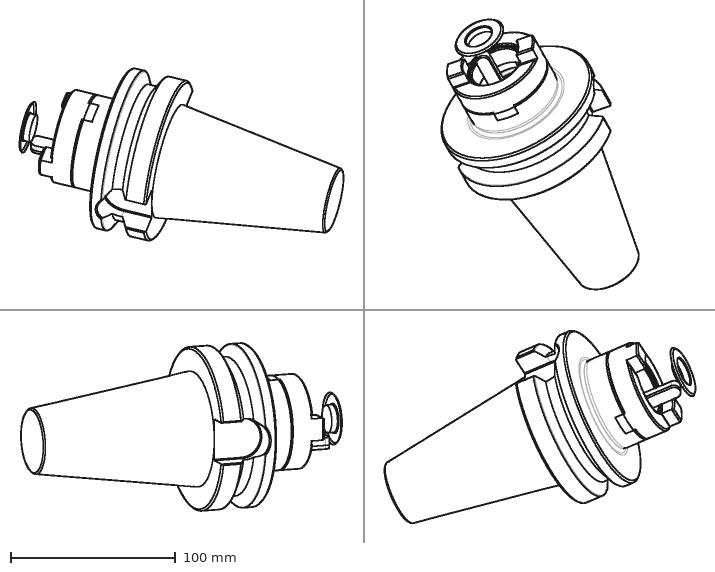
import cadquery as cq
import math


total_length = 195.8
ring_front_x = 23.7
collar_front_x = 37.2
flange_front_x = 55.6
flange_back_x = 90.9

pilot_d = 32.0
pilot_chamfer = 1.2
bore_d = 17.0
bore_depth = 4.3
bore_chamfer = 0.5

collar_d = 58.0
collar_chamfer = 1.2
relief_d = 57.4
relief_start_x = 51.9
relief_full_x = 53.6
relief_face_depth = 0.2
relief_fillet = 2.0
relief_outer_d = 64.2

flange_d = 100.0
flange_chamfer = 1.2
groove_d = 85.0
groove_floor_start_x = 67.4
groove_floor_end_x = 73.8
groove_wall_angle = 30.0
groove_edge_break = 0.5

taper_large_d = 70.7
taper_ratio = 7 / 24
taper_end_chamfer = 1.0

slot_width = 25.5
slot_floor_y = taper_large_d / 2
slot_end_x = 60.3
slot_floor_chamfer = 0.5
slot_rim_chamfer = 0.8

ring_d = collar_d
ring_bore_d = pilot_d
ring_chamfer = 1.0
ring_recess_d = 35.5
ring_recess_depth = 1.5
ring_inner_chamfer = 0.8
lug_inner_d = ring_recess_d + 2 * ring_inner_chamfer
lug_width = 13.7
front_lug_length = 7.0
front_lug_chamfer_length = 1.2
front_lug_chamfer_width = 0.5
lug_seat_width = 19.2
lug_seat_depth = 1.2
rear_lug_end_x = 43.9
rear_lug_tip_d = 57.8

key_width = 8.0
key_height = 7.0
key_bottom_z = -17.8
key_front_x = 3.0


def revolve_about_x(outline):
    """Turn a closed (x, radius) outline into a solid of revolution."""
    return outline.close().revolve(360, (0, 0, 0), (1, 0, 0))


def tube(start_x, end_x, outer_d, inner_d):
    """A plain tube along X."""
    outline = (
        cq.Workplane("XY")
        .moveTo(start_x, inner_d / 2)
        .lineTo(start_x, outer_d / 2)
        .lineTo(end_x, outer_d / 2)
        .lineTo(end_x, inner_d / 2)
    )
    return revolve_about_x(outline)


def bar_across(start_x, end_x, y_size, z_size):
    """A rectangular bar centred on the X axis."""
    length = end_x - start_x
    return cq.Workplane("XY").box(length, y_size, z_size).translate((start_x + length / 2, 0, 0))


def arbor_blank():
    pilot_r = pilot_d / 2
    collar_r = collar_d / 2
    flange_r = flange_d / 2
    groove_r = groove_d / 2
    relief_r = relief_d / 2
    relief_floor_x = flange_front_x + relief_face_depth
    fillet_x = relief_floor_x - relief_fillet
    fillet_r = relief_r + relief_fillet
    arc_offset = relief_fillet * math.sqrt(0.5)

    wall_slope = math.tan(math.radians(groove_wall_angle))
    shoulder_r = flange_r - groove_edge_break
    wall_run = (shoulder_r - groove_r) * wall_slope
    groove_front_x = groove_floor_start_x - wall_run
    groove_back_x = groove_floor_end_x + wall_run

    taper_large_r = taper_large_d / 2
    taper_slope = taper_ratio / 2
    taper_end_x = total_length - taper_end_chamfer
    taper_end_r = taper_large_r - (taper_end_x - flange_back_x) * taper_slope

    outline = (
        cq.Workplane("XY")
        .moveTo(0, 0)
        .lineTo(0, pilot_r - pilot_chamfer)
        .lineTo(pilot_chamfer, pilot_r)
        .lineTo(collar_front_x, pilot_r)
        .lineTo(collar_front_x, collar_r - collar_chamfer)
        .lineTo(collar_front_x + collar_chamfer, collar_r)
        .lineTo(relief_start_x, collar_r)
        .lineTo(relief_full_x, relief_r)
        .lineTo(fillet_x, relief_r)
        .threePointArc((fillet_x + arc_offset, fillet_r - arc_offset), (relief_floor_x, fillet_r))
        .lineTo(flange_front_x, relief_outer_d / 2)
        .lineTo(flange_front_x, flange_r - flange_chamfer)
        .lineTo(flange_front_x + flange_chamfer, flange_r)
        .lineTo(groove_front_x - groove_edge_break, flange_r)
        .lineTo(groove_front_x, shoulder_r)
        .lineTo(groove_floor_start_x, groove_r)
        .lineTo(groove_floor_end_x, groove_r)
        .lineTo(groove_back_x, shoulder_r)
        .lineTo(groove_back_x + groove_edge_break, flange_r)
        .lineTo(flange_back_x - flange_chamfer, flange_r)
        .lineTo(flange_back_x, flange_r - flange_chamfer)
        .lineTo(flange_back_x, taper_large_r)
        .lineTo(taper_end_x, taper_end_r)
        .lineTo(total_length, taper_end_r - taper_end_chamfer)
        .lineTo(total_length, 0)
    )
    return revolve_about_x(outline)


def pilot_bore():
    bore_r = bore_d / 2
    outline = (
        cq.Workplane("XY")
        .moveTo(0, 0)
        .lineTo(0, bore_r + bore_chamfer)
        .lineTo(bore_chamfer, bore_r)
        .lineTo(bore_depth, bore_r)
        .lineTo(bore_depth, 0)
    )
    return revolve_about_x(outline)


def plain_slot():
    """Round-ended slot on the -Y side, open at the back, with a chamfered floor."""
    half_width = slot_width / 2
    centre_x = slot_end_x + half_width
    open_end_x = flange_back_x + slot_width
    return (
        cq.Workplane("XZ", origin=(0, -slot_floor_y, 0))
        .moveTo(centre_x, half_width)
        .threePointArc((slot_end_x, 0), (centre_x, -half_width))
        .lineTo(open_end_x, -half_width)
        .lineTo(open_end_x, half_width)
        .close()
        .extrude(flange_d)
        .faces(">Y")
        .chamfer(slot_floor_chamfer)
    )


def drive_slot_cutter():
    """What a rim-chamfered slot removes from a plain disc of the flange's diameter."""
    disc = (
        cq.Workplane("YZ", origin=(flange_front_x, 0, 0))
        .circle(flange_d / 2)
        .extrude(flange_back_x - flange_front_x)
    )
    box_depth_y = (slot_floor_y + flange_d / 2) / 2
    rim_edges = cq.selectors.BoxSelector(
        (flange_front_x, -flange_d, -slot_width),
        (flange_back_x - slot_rim_chamfer, -box_depth_y, slot_width),
    )
    slotted_disc = disc.cut(plain_slot()).edges(rim_edges).chamfer(slot_rim_chamfer)
    return disc.cut(slotted_disc)


def build_arbor(ring_notches, key):
    arbor = arbor_blank().cut(pilot_bore())
    slot = drive_slot_cutter()
    for angle in (0, 180):
        arbor = arbor.cut(slot.rotate((0, 0, 0), (1, 0, 0), angle))
    return arbor.cut(ring_notches).cut(key)


def ring_body():
    """The ring turned from bar: outer chamfer, front recess and bore, each with a chamfered mouth."""
    bore_r = ring_bore_d / 2
    recess_r = ring_recess_d / 2
    outer_r = ring_d / 2
    recess_floor_x = ring_front_x + ring_recess_depth
    outline = (
        cq.Workplane("XY")
        .moveTo(ring_front_x, recess_r + ring_inner_chamfer)
        .lineTo(ring_front_x, outer_r - ring_chamfer)
        .lineTo(ring_front_x + ring_chamfer, outer_r)
        .lineTo(collar_front_x, outer_r)
        .lineTo(collar_front_x, bore_r)
        .lineTo(recess_floor_x + ring_inner_chamfer, bore_r)
        .lineTo(recess_floor_x, bore_r + ring_inner_chamfer)
        .lineTo(recess_floor_x, recess_r)
        .lineTo(ring_front_x + ring_inner_chamfer, recess_r)
    )
    return revolve_about_x(outline)


def front_lugs():
    """Two lugs on +Y and -Y, rising from the floor of their seats."""
    start_x = ring_front_x - front_lug_length
    end_x = ring_front_x + lug_seat_depth
    pair = tube(start_x, end_x, ring_d, lug_inner_d).intersect(
        bar_across(start_x, end_x, ring_d, lug_width)
    )
    return pair.faces("<X").chamfer(front_lug_chamfer_width, front_lug_chamfer_length)


def rear_lugs(start_x, end_x, outer_d):
    """Two blocks on +Z and -Z, lug_width wide, that fit the notches in the collar."""
    return tube(start_x, end_x, outer_d, lug_inner_d).intersect(
        bar_across(start_x, end_x, lug_width, outer_d)
    )


def build_drive_ring():
    seat = bar_across(ring_front_x, ring_front_x + lug_seat_depth, ring_d, lug_seat_width)
    keyway = cq.Workplane("XY", origin=(ring_front_x, 0, key_bottom_z)).box(
        collar_front_x - ring_front_x, key_width, key_height, centered=(False, True, False)
    )
    tip_x = collar_front_x + collar_chamfer
    return (
        ring_body()
        .cut(seat)
        .cut(keyway)
        .union(front_lugs())
        .union(rear_lugs(collar_front_x, tip_x, ring_d))
        .union(rear_lugs(tip_x, rear_lug_end_x, rear_lug_tip_d))
    )


def build_key():
    length = collar_front_x - key_front_x
    centre_x = key_front_x + length / 2
    return (
        cq.Workplane("XY", origin=(centre_x, 0, key_bottom_z))
        .slot2D(length, key_width)
        .extrude(key_height)
    )


key = build_key()
drive_ring = build_drive_ring()
arbor = build_arbor(rear_lugs(collar_front_x, rear_lug_end_x, flange_d), key)
result = cq.Compound.makeCompound([arbor.solids().val(), drive_ring.solids().val(), key.val()])